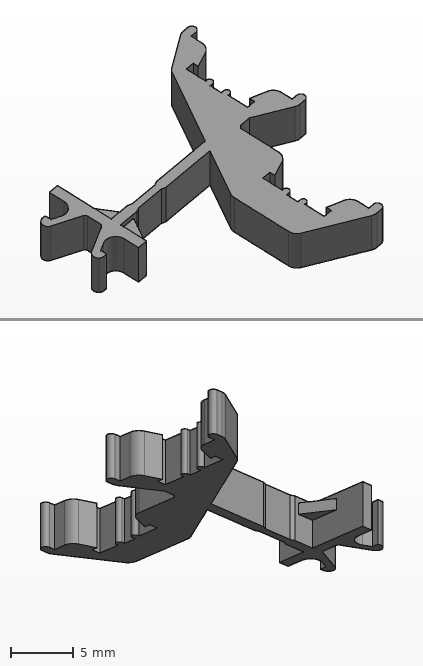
import cadquery as cq
import math


DEPTH = 4.0
BLEND_RADIUS = 1.0
LEAN = math.radians(30)

STEM_HALF = 0.5
NECK_HALF = 0.35
NECK_BOTTOM = 2.38
NECK_TOP = 5.17
NECK_TAPER = 0.38
UNDERSIDE_AT_STEM = 11.55

LEFT_CRADLE = (-3.66, 16.65)
RIGHT_CRADLE = (8.99, 11.45)
CRADLE_HALF = 6.22
FINGER_WIDTH = 0.85
FINGER_TOP = 4.05
SHOULDER = 3.04
FLOOR_THICKNESS = 3.16
INNER_CORNER_RADIUS = 0.35

POCKET_HALF = 3.26
POCKET_HEIGHT = 0.85
LIP_HALF = 2.74
LIP_ANGLE = math.radians(20)
BUMP_OFFSET = 0.9
BUMP_RADIUS = 0.315
BUMP_CENTRE_HEIGHT = 0.15
GROOVE_HALF = BUMP_OFFSET - BUMP_RADIUS
GROOVE_DEPTH = 0.15

PLATE_LEFT = -6.22
PLATE_RIGHT = 3.26
PLATE_THICKNESS = 1.0
GUSSET_THICKNESS = 1.0
GUSSET_INSET = 0.5

HOOK_ANGLE = math.radians(25)
ARM_ROOT = 0.88
ARM_ROOT_RADIUS = 0.3
THROAT_CENTRE = 3.2
BARB_LEDGE = -3.21
HOOK_BOTTOM = -4.12
BULB_RADIUS = 0.58


def prism(profile):
    """Extrude a closed profile over the full depth."""
    return profile.close().extrude(DEPTH)


def round_edge(body, x, y, radius):
    """Fillet the upright edge standing at (x, y)."""
    edge = cq.selectors.NearestToPointSelector((x, y, DEPTH / 2))
    return body.edges("|Z").edges(edge).fillet(radius)


def cradle_blank():
    """Both cradles as one stepped body, before their mouths are cut."""
    left_x, left_seat = LEFT_CRADLE
    right_x, right_seat = RIGHT_CRADLE
    tip_radius = FINGER_WIDTH / 2
    finger_inner = CRADLE_HALF - FINGER_WIDTH
    tip_centre = FINGER_TOP - tip_radius
    wall_bend = SHOULDER - BLEND_RADIUS * math.tan(LEAN / 2)
    slope = math.tan(LEAN)

    left_edge = left_x - CRADLE_HALF
    left_bend = (left_edge, left_seat + wall_bend)
    underside_at_left_edge = UNDERSIDE_AT_STEM - (left_edge + STEM_HALF) * slope
    wall_run = (left_bend[1] - underside_at_left_edge) / (1 / slope - slope)
    left_knee = (left_edge + wall_run, left_bend[1] - wall_run / slope)

    floor = right_seat - FLOOR_THICKNESS
    floor_start = (-STEM_HALF + (UNDERSIDE_AT_STEM - floor) / slope, floor)
    right_edge = right_x + CRADLE_HALF
    right_bend = (right_edge, right_seat + wall_bend)
    floor_end = (right_edge - (right_bend[1] - floor) * slope, floor)

    middle_edge = left_x + CRADLE_HALF
    middle_bend = (middle_edge, left_seat + wall_bend)
    middle_knee = (STEM_HALF, middle_bend[1] - (middle_edge - STEM_HALF) / slope)
    inner_corner = (STEM_HALF, right_seat + SHOULDER)

    outline = [
        (left_edge, left_seat + tip_centre),
        left_bend,
        left_knee,
        floor_start,
        floor_end,
        right_bend,
        (right_edge, right_seat + tip_centre),
        (right_x + finger_inner, right_seat + tip_centre),
        (right_x + finger_inner, right_seat + SHOULDER),
        inner_corner,
        middle_knee,
        middle_bend,
        (middle_edge, left_seat + tip_centre),
        (left_x + finger_inner, left_seat + tip_centre),
        (left_x + finger_inner, left_seat + SHOULDER),
        (left_x - finger_inner, left_seat + SHOULDER),
        (left_x - finger_inner, left_seat + tip_centre),
    ]
    body = prism(cq.Workplane("XY").polyline(outline))

    for corner in (left_bend, left_knee, floor_start, floor_end, right_bend, middle_bend):
        body = round_edge(body, *corner, BLEND_RADIUS)
    body = round_edge(body, *inner_corner, INNER_CORNER_RADIUS)

    tips = [
        (left_edge + tip_radius, left_seat + tip_centre),
        (middle_edge - tip_radius, left_seat + tip_centre),
        (right_edge - tip_radius, right_seat + tip_centre),
    ]
    return body.union(cq.Workplane("XY").pushPoints(tips).circle(tip_radius).extrude(DEPTH))


def cut_mouth(body, centre_x, seat):
    """Cut the flared mouth, undercut pocket and groove, leaving two round bumps."""
    mouth_half = LIP_HALF + (SHOULDER - POCKET_HEIGHT) * math.tan(LIP_ANGLE)
    right_side = [
        (GROOVE_HALF, -GROOVE_DEPTH),
        (GROOVE_HALF, 0),
        (POCKET_HALF, 0),
        (POCKET_HALF, POCKET_HEIGHT),
        (LIP_HALF, POCKET_HEIGHT),
        (mouth_half, SHOULDER),
    ]
    left_side = [(-x, y) for x, y in reversed(right_side)]
    cradle_plane = cq.Workplane("XY", origin=(centre_x, seat, 0))
    mouth = prism(cradle_plane.polyline(right_side + left_side))

    bump_centres = [(side * BUMP_OFFSET, BUMP_CENTRE_HEIGHT) for side in (-1, 1)]
    bumps = cradle_plane.pushPoints(bump_centres).circle(BUMP_RADIUS).extrude(DEPTH)
    webs = (
        cradle_plane.pushPoints([(side * BUMP_OFFSET, 0) for side in (-1, 1)])
        .rect(2 * BUMP_RADIUS, 2 * BUMP_CENTRE_HEIGHT)
        .extrude(DEPTH)
    )
    inner_half = cradle_plane.rect(2 * BUMP_OFFSET, 2 * SHOULDER).extrude(DEPTH)
    body = body.cut(mouth.cut(bumps).cut(webs.intersect(inner_half)))

    for side in (-1, 1):
        body = round_edge(body, centre_x + side * mouth_half, seat + SHOULDER, BLEND_RADIUS)
    return body


def stem():
    """Upright web from the foot plate into the cradles, with the neck tapered at both ends."""
    right_side = [
        (STEM_HALF, -PLATE_THICKNESS / 2),
        (STEM_HALF, NECK_BOTTOM - NECK_TAPER),
        (NECK_HALF, NECK_BOTTOM),
        (NECK_HALF, NECK_TOP),
        (STEM_HALF, NECK_TOP + NECK_TAPER),
        (STEM_HALF, UNDERSIDE_AT_STEM),
    ]
    left_side = [(-x, y) for x, y in reversed(right_side)]
    return prism(cq.Workplane("XY").polyline(right_side + left_side))


def gussets():
    """Triangular ribs on both sides of the stem, joined into one triangle through it."""
    peak = PLATE_RIGHT * math.tan(LEAN)
    triangle = [(-PLATE_RIGHT, 0), (PLATE_RIGHT, 0), (0, peak)]
    bottom = DEPTH - GUSSET_INSET - GUSSET_THICKNESS
    full = cq.Workplane("XY").workplane(offset=bottom).polyline(triangle).close()
    return full.extrude(GUSSET_THICKNESS)


def hook(middle_x, side):
    """One spring hook under the plate; side is -1 for left and +1 for right."""
    lean_sin = math.sin(HOOK_ANGLE)
    lean_cos = math.cos(HOOK_ANGLE)
    lean_tan = math.tan(HOOK_ANGLE)
    plate_bottom = -PLATE_THICKNESS

    bulb_y = HOOK_BOTTOM + BULB_RADIUS
    bulb_x = ARM_ROOT + (plate_bottom - bulb_y) * lean_tan + BULB_RADIUS / lean_cos
    bulb_tangent = (bulb_x - BULB_RADIUS * lean_cos, bulb_y - BULB_RADIUS * lean_sin)

    throat_y = plate_bottom - BLEND_RADIUS
    throat_end = (THROAT_CENTRE - BLEND_RADIUS * lean_cos, throat_y - BLEND_RADIUS * lean_sin)
    ledge_inner = throat_end[0] + (throat_end[1] - BARB_LEDGE) * lean_tan

    def place(x, y):
        return (middle_x + side * x, y)

    profile = (
        cq.Workplane("XY")
        .moveTo(*place(ARM_ROOT, plate_bottom))
        .lineTo(*place(*bulb_tangent))
        .threePointArc(place(bulb_x, HOOK_BOTTOM), place(bulb_x + BULB_RADIUS, bulb_y))
        .lineTo(*place(bulb_x + BULB_RADIUS, BARB_LEDGE))
        .lineTo(*place(ledge_inner, BARB_LEDGE))
        .lineTo(*place(*throat_end))
        .threePointArc(
            place(THROAT_CENTRE - BLEND_RADIUS, throat_y),
            place(THROAT_CENTRE, plate_bottom),
        )
    )
    return prism(profile)


def foot():
    """Foot plate with its pair of hooks."""
    length = PLATE_RIGHT - PLATE_LEFT
    middle_x = (PLATE_LEFT + PLATE_RIGHT) / 2
    body = cq.Workplane("XY").box(length, PLATE_THICKNESS, DEPTH, centered=(True, True, False))
    body = body.translate((middle_x, -PLATE_THICKNESS / 2, 0))
    for side in (-1, 1):
        body = body.union(hook(middle_x, side))
    for side in (-1, 1):
        body = round_edge(body, middle_x + side * ARM_ROOT, -PLATE_THICKNESS, ARM_ROOT_RADIUS)
    return body


cradles = cradle_blank()
for cradle in (LEFT_CRADLE, RIGHT_CRADLE):
    cradles = cut_mouth(cradles, *cradle)

result = cradles.union(stem()).union(foot()).union(gussets())